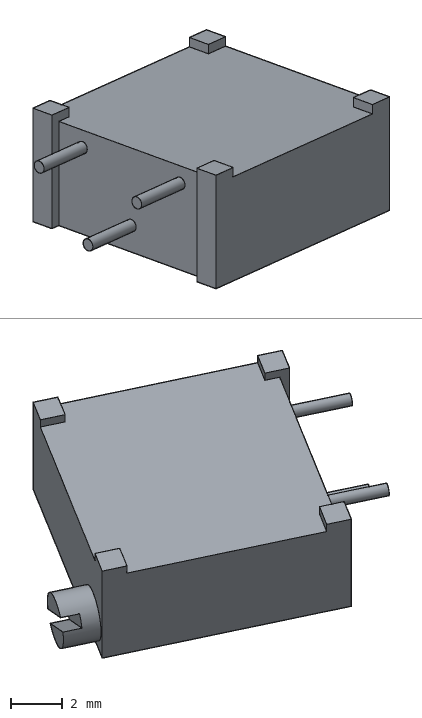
import cadquery as cq

HOUSING_WIDTH = 9.53
HOUSING_LENGTH = 10.03
HOUSING_HEIGHT = 4.8
CORNER_SIZE = 1.0
STANDOFF = 0.4

PIN_DIAMETER = 0.5
PIN_LENGTH = 2.5
PIN_PITCH = 2.54
LOWER_PIN_Z = 1.13

SCREW_DIAMETER = 2.22
SCREW_LENGTH = 1.52
SCREW_INSET = 1.27
SLOT_WIDTH = 0.57
SLOT_DEPTH = 0.76
SLOT_ANGLE = 35.0

block_length = HOUSING_LENGTH - STANDOFF
block_height = HOUSING_HEIGHT - STANDOFF
corner_x = (HOUSING_WIDTH - CORNER_SIZE) / 2
screw_x = SCREW_INSET - HOUSING_WIDTH / 2
upper_pin_z = LOWER_PIN_Z + PIN_PITCH
pin_positions = [(-PIN_PITCH, upper_pin_z), (0, LOWER_PIN_Z), (PIN_PITCH, upper_pin_z)]

UPRIGHT_FROM_CORNER = (True, False, False)


def make_housing():
    """Block with a full-height post at each front corner and a pad at each back corner."""
    housing = (
        cq.Workplane("XY")
        .box(HOUSING_WIDTH, block_length, block_height, centered=UPRIGHT_FROM_CORNER)
        .translate((0, STANDOFF, 0))
    )
    post = cq.Workplane("XY").box(CORNER_SIZE, CORNER_SIZE, HOUSING_HEIGHT, centered=UPRIGHT_FROM_CORNER)
    for x in (-corner_x, corner_x):
        for y in (0, HOUSING_LENGTH - CORNER_SIZE):
            housing = housing.union(post.translate((x, y, 0)))
    return housing.clean()


def make_pin(x, z):
    """Round pin running toward -Y from the recessed front face."""
    return (
        cq.Workplane("XZ", origin=(x, STANDOFF, z))
        .circle(PIN_DIAMETER / 2)
        .extrude(PIN_LENGTH)
    )


def make_screw():
    """Round screw head pointing toward +Y, with a tilted driver slot across its end."""
    head = cq.Workplane("XZ").circle(SCREW_DIAMETER / 2).extrude(-SCREW_LENGTH)
    slot = (
        cq.Workplane("XY")
        .box(2 * SCREW_DIAMETER, SLOT_DEPTH, SLOT_WIDTH)
        .rotate((0, 0, 0), (0, 1, 0), SLOT_ANGLE)
        .translate((0, SCREW_LENGTH - SLOT_DEPTH / 2, 0))
    )
    return head.cut(slot).translate((screw_x, HOUSING_LENGTH, SCREW_INSET))


housing = make_housing()
pins = [make_pin(x, z) for x, z in pin_positions]
screw = make_screw()

result = cq.Compound.makeCompound([housing.val(), *[pin.val() for pin in pins], screw.val()])